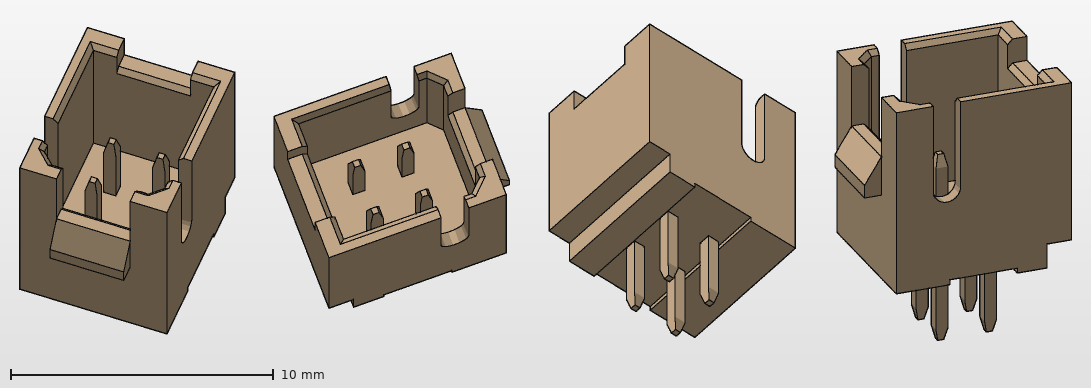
import cadquery as cq
import math


body_width = 6.0
body_length = 7.2
body_height = 7.6
rear_step = 1.0
groove_width = 2.76
groove_depth = 0.2

side_wall = 0.55
rear_wall = 0.8
front_wall = 0.7
cavity_depth = 6.0
corner_cut = 0.5
lead_in = 0.2

notch_width = 3.0
rear_notch_depth = 1.0
front_notch_depth = 2.5
slot_width = 1.12
slot_depth = 4.11
slot_from_rear = 4.56

latch_reach = 0.69
latch_slope_height = 1.08
latch_lip_height = 0.53

pin_size = 0.5
pin_pitch = 2.0
pin_grid_y = -0.01
pin_tip_size = 0.25
pin_tip_length = 0.53
pin_top_drop = 2.99
pin_below_body = 3.2

front_y = -body_length / 2
rear_y = body_length / 2
cavity_front_y = front_y + front_wall
cavity_rear_y = rear_y - rear_wall
rear_notch_z = body_height - rear_notch_depth
front_notch_z = body_height - front_notch_depth


def box(width, y_start, y_end, z_bottom, z_top):
    """Block centred on X that spans the given Y and Z ranges."""
    base = cq.Workplane("XY", origin=(0, y_start, z_bottom))
    return base.box(width, y_end - y_start, z_top - z_bottom, centered=(True, False, False))


def make_body():
    """Outer block with the rear rebate and the underside groove."""
    body = box(body_width, front_y, rear_y, 0, body_height)
    rebate = box(body_width, rear_y - rear_step, rear_y, 0, rear_step)
    groove_start_y = pin_grid_y - groove_width / 2
    groove = box(body_width, groove_start_y, groove_start_y + groove_width, 0, groove_depth)
    return body.cut(rebate).cut(groove)


def make_latch():
    """Wedge whose slope starts at the floor of the front notch."""
    lip_top_z = front_notch_z - latch_slope_height
    lip_bottom_z = lip_top_z - latch_lip_height
    profile = [
        (front_y, front_notch_z),
        (front_y - latch_reach, lip_top_z),
        (front_y - latch_reach, lip_bottom_z),
        (front_y, lip_bottom_z),
    ]
    return cq.Workplane("YZ").polyline(profile).close().extrude(notch_width / 2, both=True)


def cavity_outline(z, margin=0):
    """Closed cavity outline at height z, offset outward by margin, with bevelled front corners."""
    half_width = body_width / 2 - side_wall + margin
    front = cavity_front_y - margin
    rear = cavity_rear_y + margin
    bevel = corner_cut + margin * (2 - math.sqrt(2))
    return cq.Workplane("XY", origin=(0, 0, z)).polyline([
        (-half_width, rear),
        (-half_width, front + bevel),
        (-half_width + bevel, front),
        (half_width - bevel, front),
        (half_width, front + bevel),
        (half_width, rear),
    ]).close()


def make_lead_in(rim_z):
    """Cutter that narrows at 45 degrees from the rim height down to the cavity outline."""
    return cavity_outline(rim_z, lead_in).extrude(-lead_in, taper=45)


def make_cavity():
    """Cavity with the lead-in following the main rim and both notch floors."""
    cavity = cavity_outline(body_height - cavity_depth).extrude(cavity_depth)
    rear_zone = box(notch_width, 0, rear_y, 0, body_height)
    front_zone = box(notch_width, front_y, 0, 0, body_height)
    rear_lead_in = make_lead_in(rear_notch_z).intersect(rear_zone)
    front_lead_in = make_lead_in(front_notch_z).intersect(front_zone)
    return cavity.union(make_lead_in(body_height)).union(rear_lead_in).union(front_lead_in)


def make_notches():
    """Open-topped notches through the rear and front walls."""
    rear_notch = box(notch_width, cavity_rear_y - lead_in, rear_y, rear_notch_z, body_height)
    front_notch = box(notch_width, front_y, cavity_front_y + lead_in, front_notch_z, body_height)
    return rear_notch.union(front_notch)


def make_side_slots():
    """Open-topped, round-bottomed slot through both side walls."""
    radius = slot_width / 2
    slot_y = rear_y - slot_from_rear - radius
    arc_z = body_height - slot_depth + radius
    straight = box(body_width, slot_y - radius, slot_y + radius, arc_z, body_height)
    arc_plane = cq.Workplane("YZ", origin=(0, slot_y, arc_z))
    round_bottom = arc_plane.circle(radius).extrude(body_width / 2, both=True)
    return straight.union(round_bottom)


def make_pin_tip(base_z, direction):
    """Square taper that starts at base_z and runs up (1) or down (-1)."""
    base = cq.Workplane("XY", origin=(0, 0, base_z)).rect(pin_size, pin_size)
    return base.workplane(offset=direction * pin_tip_length).rect(pin_tip_size, pin_tip_size).loft()


def make_pin():
    """Square pin tapered at both ends."""
    shank_bottom = pin_tip_length - pin_below_body
    shank_top = body_height - pin_top_drop - pin_tip_length
    shank = box(pin_size, -pin_size / 2, pin_size / 2, shank_bottom, shank_top)
    return shank.union(make_pin_tip(shank_top, 1)).union(make_pin_tip(shank_bottom, -1))


result = make_body().union(make_latch())
result = result.cut(make_cavity()).cut(make_notches()).cut(make_side_slots())

pin = make_pin()
for x_side in (-1, 1):
    for y_side in (-1, 1):
        pin_x = x_side * pin_pitch / 2
        pin_y = pin_grid_y + y_side * pin_pitch / 2
        result = result.union(pin.translate((pin_x, pin_y, 0)))